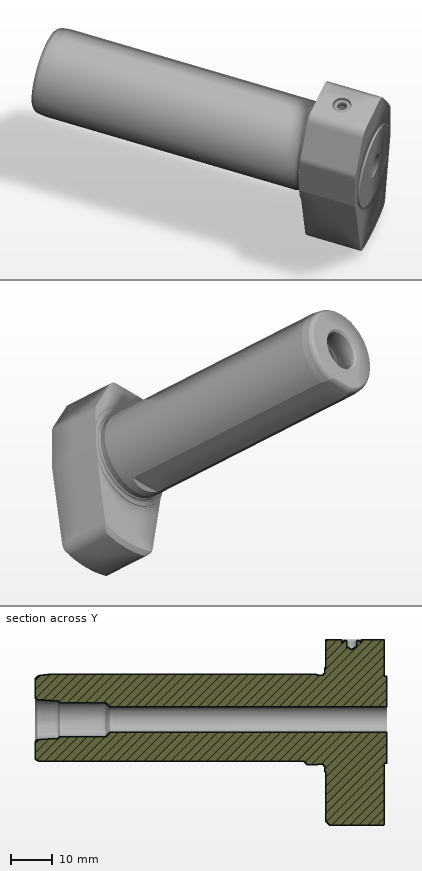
import cadquery as cq
import math

LENGTH = 85.0

SHAFT_R = 22.0 / 2
TIP_R = 21.6 / 2
TIP_DROP = 0.85
TIP_ROUND_LENGTH = 1.5
TIP_TAPER_END = 3.1
NECK_R = 21.6 / 2
NECK_TAPER_START = 67.9
NECK_START = 68.8
NECK_FILLET = 0.4

FLAT_DEPTH = 0.85
FLAT_LENGTH = 64.9
FLAT_TIP_DROP = 0.6

HEAD_START = 70.2
HEAD_END = 84.5
HEAD_WIDTH = 24.0
HEAD_TOP = 19.4
HEAD_BOTTOM_R = 25.6
TOP_HALF_WIDTH = 6.0
SHOULDER_ANGLE = 30.0
SIDE_BOTTOM_Z = -2.2
TAPER_ANGLE = 10.0
HEAD_CORNER_R = 3.0
FRONT_CHAMFER = 1.0
BACK_CHAMFER = 0.3

COLLAR_R = 25.3 / 2
COLLAR_START = 69.95
BACK_BOSS_R = 21.2 / 2

THROUGH_R = 6.0 / 2
BORE_R = 8.2 / 2
BORE_DEPTH = 17.0
BORE_CONE_R = 9.6 / 2
BORE_CONE_END_R = 9.0 / 2
BORE_CONE_END = 5.5
BORE_MOUTH_R = 10.6 / 2
BORE_MOUTH_DEPTH = 0.5

SCREW_X = 76.5
SCREW_HOLE_R = 4.6 / 2
SCREW_RIM_R = 3.15 / 2
SCREW_RIM_DEPTH = 0.1
SCREW_CHAMFER_DEPTH = 0.7
SOCKET_MOUTH_R = 3.0 / 2
SOCKET_R = 2.3 / 2
SOCKET_DEPTH = 1.7
SOCKET_TIP_DEPTH = 0.7


def turned(points):
    """Revolve a closed (x, radius) outline about the X axis."""
    return cq.Workplane("XY").polyline(points).close().revolve(360, (0, 0, 0), (1, 0, 0))


def tip_arc_midpoint(end_height, drop):
    """Middle of the tip's rounding arc, which falls by drop toward x = 0 and ends parallel to X."""
    radius = (TIP_ROUND_LENGTH**2 + drop**2) / (2 * drop)
    half_angle = math.asin(TIP_ROUND_LENGTH / radius) / 2
    x = TIP_ROUND_LENGTH - radius * math.sin(half_angle)
    return x, end_height - radius * (1 - math.cos(half_angle))


def head_outline(start, end):
    """Prism with the head's outline between two x positions."""
    half_width = HEAD_WIDTH / 2
    shoulder_drop = (half_width - TOP_HALF_WIDTH) / math.tan(math.radians(SHOULDER_ANGLE))
    slope = math.tan(math.radians(TAPER_ANGLE))
    offset = half_width - slope * SIDE_BOTTOM_Z
    a = 1 + slope**2
    b = slope * offset
    c = offset**2 - HEAD_BOTTOM_R**2
    corner_z = (-b - math.sqrt(b**2 - a * c)) / a
    corner_y = offset + slope * corner_z
    prism = (
        cq.Workplane("YZ", origin=(start, 0, 0))
        .moveTo(-TOP_HALF_WIDTH, HEAD_TOP)
        .lineTo(TOP_HALF_WIDTH, HEAD_TOP)
        .lineTo(half_width, HEAD_TOP - shoulder_drop)
        .lineTo(half_width, SIDE_BOTTOM_Z)
        .lineTo(corner_y, corner_z)
        .threePointArc((0, -HEAD_BOTTOM_R), (-corner_y, corner_z))
        .lineTo(-half_width, SIDE_BOTTOM_Z)
        .lineTo(-half_width, HEAD_TOP - shoulder_drop)
        .close()
        .extrude(end - start)
    )
    corners = prism.edges("|X").filter(lambda edge: abs(edge.Center().z - SIDE_BOTTOM_Z) > HEAD_CORNER_R)
    return corners.fillet(HEAD_CORNER_R)


def disc(start, end, radius):
    """Round plate on the pin axis between two x positions."""
    return cq.Workplane("YZ", origin=(start, 0, 0)).circle(radius).extrude(end - start)


def make_head():
    envelope = turned([
        (HEAD_START, 0),
        (HEAD_START, HEAD_BOTTOM_R - FRONT_CHAMFER),
        (HEAD_START + FRONT_CHAMFER, HEAD_BOTTOM_R),
        (HEAD_END - BACK_CHAMFER, HEAD_BOTTOM_R),
        (HEAD_END, HEAD_BOTTOM_R - BACK_CHAMFER),
        (HEAD_END, 0),
    ])
    head = head_outline(HEAD_START, HEAD_END).intersect(envelope)
    collar = disc(COLLAR_START, HEAD_END, COLLAR_R).intersect(head_outline(COLLAR_START, HEAD_END))
    boss = disc(HEAD_START, LENGTH, BACK_BOSS_R)
    return head.union(collar).union(boss)


def make_shaft():
    shaft = (
        cq.Workplane("XY")
        .moveTo(0, 0)
        .lineTo(0, TIP_R - TIP_DROP)
        .threePointArc(tip_arc_midpoint(TIP_R, TIP_DROP), (TIP_ROUND_LENGTH, TIP_R))
        .lineTo(TIP_TAPER_END, SHAFT_R)
        .lineTo(NECK_TAPER_START, SHAFT_R)
        .lineTo(NECK_START, NECK_R)
        .lineTo(COLLAR_START - NECK_FILLET, NECK_R)
        .radiusArc((COLLAR_START, NECK_R + NECK_FILLET), NECK_FILLET)
        .lineTo(HEAD_START, NECK_R + NECK_FILLET)
        .lineTo(HEAD_START, 0)
        .close()
        .revolve(360, (0, 0, 0), (1, 0, 0))
    )
    flat_z = -(SHAFT_R - FLAT_DEPTH)
    mid_x, mid_height = tip_arc_midpoint(FLAT_TIP_DROP, FLAT_TIP_DROP)
    clear_z = -2 * SHAFT_R
    flat = (
        cq.Workplane("XZ")
        .moveTo(0, flat_z + FLAT_TIP_DROP)
        .threePointArc((mid_x, flat_z + FLAT_TIP_DROP - mid_height), (TIP_ROUND_LENGTH, flat_z))
        .lineTo(FLAT_LENGTH, flat_z)
        .lineTo(FLAT_LENGTH + flat_z - clear_z, clear_z)
        .lineTo(0, clear_z)
        .close()
        .extrude(SHAFT_R, both=True)
    )
    return shaft.cut(flat)


def make_bore():
    return turned([
        (0, 0),
        (0, BORE_MOUTH_R),
        (BORE_MOUTH_DEPTH, BORE_CONE_R),
        (BORE_CONE_END, BORE_CONE_END_R),
        (BORE_CONE_END + BORE_CONE_END_R - BORE_R, BORE_R),
        (BORE_DEPTH, BORE_R),
        (BORE_DEPTH + BORE_R - THROUGH_R, THROUGH_R),
        (LENGTH, THROUGH_R),
        (LENGTH, 0),
    ])


def make_screw_hole():
    profile = [
        (0, 0),
        (SCREW_HOLE_R, 0),
        (SCREW_HOLE_R, -SCREW_CHAMFER_DEPTH),
        (SCREW_RIM_R, -SCREW_RIM_DEPTH),
        (SOCKET_MOUTH_R, -SCREW_RIM_DEPTH),
        (SOCKET_R, -SCREW_RIM_DEPTH - SOCKET_MOUTH_R + SOCKET_R),
        (SOCKET_R, -SOCKET_DEPTH),
        (0, -SOCKET_DEPTH - SOCKET_TIP_DEPTH),
    ]
    hole = cq.Workplane("XZ").polyline(profile).close().revolve(360, (0, 0, 0), (0, 1, 0))
    return hole.translate((SCREW_X, 0, HEAD_TOP))


result = make_shaft().union(make_head()).cut(make_bore()).cut(make_screw_hole())